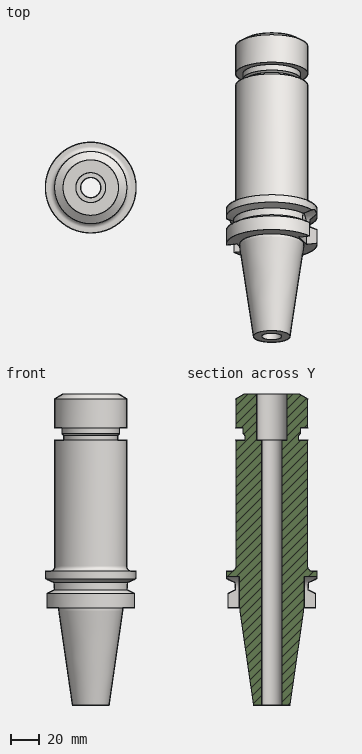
import cadquery as cq
import math

total_height = 215.5
taper_top = 65.5
flange_bottom = 67.5
flange_height = 25.5
flange_top = flange_bottom + flange_height
lower_rim_top = 77.3
upper_rim_bottom = 87.5
groove_wall_height = 2.5
body_top = 183.3
neck_top = 186.5
collar_bottom = 187.8
nut_bottom = 192.0
nut_chamfer_height = 3.5

taper_small_radius = 12.7
taper_large_radius = 22.2
flange_radius = 31.5
groove_radius = 26.5
body_radius = 25.0
body_fillet = 3.2
neck_radius = 18.7
collar_radius = 20.0
nut_face_radius = 19.2

slot_width = 16.2
slot_top = 89.0
slot_floor = 22.6

mouth_radius = 10.3
mouth_depth = total_height - body_top
through_radius = 7.0


def make_holder():
    """Revolve the half section of taper, flange, body and nut."""
    fillet_reach = body_fillet * (1 - math.sqrt(0.5))
    fillet_middle = (body_radius + fillet_reach, flange_top + fillet_reach)
    section = (
        cq.Workplane("XZ")
        .lineTo(taper_small_radius, 0)
        .lineTo(taper_large_radius, taper_top)
        .lineTo(taper_large_radius, flange_bottom)
        .lineTo(flange_radius, flange_bottom)
        .lineTo(flange_radius, lower_rim_top)
        .lineTo(groove_radius, lower_rim_top + groove_wall_height)
        .lineTo(groove_radius, upper_rim_bottom - groove_wall_height)
        .lineTo(flange_radius, upper_rim_bottom)
        .lineTo(flange_radius, flange_top)
        .lineTo(body_radius + body_fillet, flange_top)
        .threePointArc(fillet_middle, (body_radius, flange_top + body_fillet))
        .lineTo(body_radius, body_top)
        .lineTo(neck_radius, body_top)
        .lineTo(neck_radius, neck_top)
        .lineTo(collar_radius, collar_bottom)
        .lineTo(collar_radius, nut_bottom)
        .lineTo(body_radius, nut_bottom)
        .lineTo(body_radius, total_height - nut_chamfer_height)
        .lineTo(nut_face_radius, total_height)
        .lineTo(0, total_height)
        .close()
    )
    return section.revolve(360, (0, 0, 0), (0, 1, 0))


def make_drive_slot(side):
    """Round-topped cutter, open at the flange bottom; side is +1 or -1 along X."""
    half_width = slot_width / 2
    arc_center = slot_top - half_width
    return (
        cq.Workplane("YZ", origin=(side * slot_floor, 0, 0))
        .moveTo(-half_width, flange_bottom)
        .lineTo(half_width, flange_bottom)
        .lineTo(half_width, arc_center)
        .threePointArc((0, slot_top), (-half_width, arc_center))
        .close()
        .extrude(side * flange_radius)
    )


def make_bore():
    through_hole = cq.Workplane("XY").circle(through_radius).extrude(total_height)
    mouth = (
        cq.Workplane("XY", origin=(0, 0, total_height - mouth_depth))
        .circle(mouth_radius)
        .extrude(mouth_depth)
    )
    return through_hole.union(mouth)


result = make_holder().cut(make_bore())
for slot_side in (-1, 1):
    result = result.cut(make_drive_slot(slot_side))